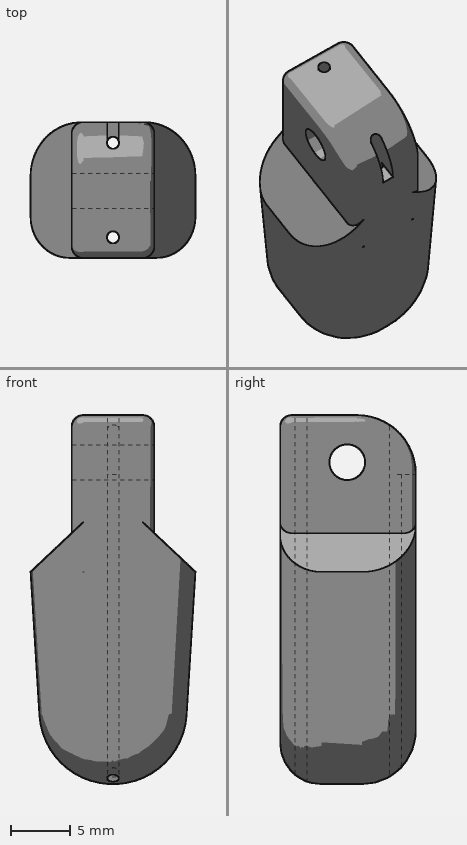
import cadquery as cq
import math

DEPTH = 11.5
TOP_Z = 31.25

BODY_WIDTH = 13.97
END_RADIUS = 6.25
SHOULDER_LOW_Z = 17.97
SHOULDER_HIGH_Z = 21.25
FRONT_ROUND = 3.5
BACK_ROUND = 4.55

NECK_WIDTH = 7.0
NECK_BACK_RADIUS = 5.0
NECK_FILLET = 1.0
NECK_ROOT_Z = SHOULDER_LOW_Z

PIN_DIAMETER = 3.0
PIN_Y = -0.05
PIN_Z = TOP_Z - 4.0

CORD_DIAMETER = 1.0
CORD_INSET = 1.75
GROOVE_FLOOR_Z = TOP_Z - NECK_BACK_RADIUS

HALF_DEPTH = DEPTH / 2
HALF_BODY = BODY_WIDTH / 2
HALF_NECK = NECK_WIDTH / 2
SHOULDER_SLOPE = (SHOULDER_HIGH_Z - SHOULDER_LOW_Z) / (HALF_BODY - HALF_NECK)


def make_body():
    rise = SHOULDER_LOW_Z - END_RADIUS
    distance = math.hypot(HALF_BODY, rise)
    tangent_angle = math.atan2(rise, HALF_BODY) - math.acos(END_RADIUS / distance)
    tangent_x = END_RADIUS * math.cos(tangent_angle)
    tangent_z = END_RADIUS + END_RADIUS * math.sin(tangent_angle)

    taper = (HALF_BODY - tangent_x) / (SHOULDER_LOW_Z - tangent_z)
    top_x = HALF_BODY + taper * (TOP_Z - SHOULDER_LOW_Z)
    blank = (
        cq.Workplane("XZ")
        .moveTo(-top_x, TOP_Z)
        .lineTo(-tangent_x, tangent_z)
        .threePointArc((0, 0), (tangent_x, tangent_z))
        .lineTo(top_x, TOP_Z)
        .close()
        .extrude(HALF_DEPTH, both=True)
    )
    top_edges = cq.selectors.BoxSelector(
        (-BODY_WIDTH, -DEPTH, TOP_Z - 0.3), (BODY_WIDTH, DEPTH, TOP_Z + 0.3)
    )
    blank = blank.faces("<Y").edges().edges(cq.selectors.InverseSelector(top_edges)).fillet(FRONT_ROUND)
    blank = blank.faces(">Y").edges().edges(cq.selectors.InverseSelector(top_edges)).fillet(BACK_ROUND)

    ridge_z = SHOULDER_LOW_Z + SHOULDER_SLOPE * HALF_BODY
    roof_foot_z = ridge_z - SHOULDER_SLOPE * BODY_WIDTH
    below_roof = (
        cq.Workplane("XZ")
        .polyline([
            (-BODY_WIDTH, 0),
            (-BODY_WIDTH, roof_foot_z),
            (0, ridge_z),
            (BODY_WIDTH, roof_foot_z),
            (BODY_WIDTH, 0),
        ])
        .close()
        .extrude(DEPTH, both=True)
    )
    return blank.intersect(below_roof)


def make_neck():
    neck_height = TOP_Z - NECK_ROOT_Z
    return (
        cq.Workplane("XY")
        .workplane(offset=NECK_ROOT_Z)
        .rect(NECK_WIDTH, DEPTH)
        .extrude(neck_height)
        .edges(">Y and >Z")
        .fillet(NECK_BACK_RADIUS)
        .faces("<X or >X or <Y")
        .edges("not <Z")
        .fillet(NECK_FILLET)
    )


def make_holes():
    pin = cq.Workplane("YZ").center(PIN_Y, PIN_Z).circle(PIN_DIAMETER / 2).extrude(BODY_WIDTH, both=True)
    cord_y = HALF_DEPTH - CORD_INSET
    cords = (
        cq.Workplane("XY")
        .pushPoints([(0, -cord_y), (0, cord_y)])
        .circle(CORD_DIAMETER / 2)
        .extrude(TOP_Z)
    )
    groove = cq.Workplane("XY").box(
        CORD_DIAMETER, CORD_INSET, TOP_Z - GROOVE_FLOOR_Z, centered=(True, False, False)
    ).translate((0, cord_y, GROOVE_FLOOR_Z))
    return pin.union(cords).union(groove)


result = make_body().union(make_neck()).cut(make_holes())